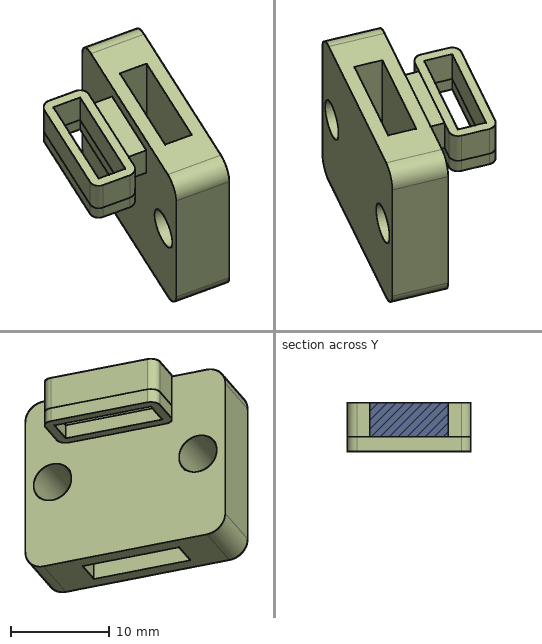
import cadquery as cq

HOUSING_WIDTH = 22.0
HOUSING_HEIGHT = 19.0
HOUSING_DEPTH = 6.0
HOUSING_CORNER_RADIUS = 2.0
MOUNT_HOLE_DIAMETER = 4.15
MOUNT_HOLE_SPACING = 16.0

SLOT_WIDTH = 10.6
SLOT_DEPTH = 3.01

BRIDGE_WIDTH = 8.0
BRIDGE_HEIGHT = 3.5
BRIDGE_LENGTH = 2.0

LOOP_WALL = 1.0
LOOP_TOP_DROP = 1.5
LOWER_RING_HEIGHT = 1.5

housing_top = HOUSING_HEIGHT / 2
housing_mid_y = HOUSING_DEPTH / 2
loop_width = SLOT_WIDTH + 2 * LOOP_WALL
loop_depth = SLOT_DEPTH + 2 * LOOP_WALL
loop_mid_y = -BRIDGE_LENGTH - loop_depth / 2
loop_top = housing_top - LOOP_TOP_DROP
ring_joint = loop_top - BRIDGE_HEIGHT
loop_bottom = ring_joint - LOWER_RING_HEIGHT


def make_mount_holes():
    """Two holes side by side, running through the housing along Y."""
    return (
        cq.Workplane("XZ")
        .pushPoints([(-MOUNT_HOLE_SPACING / 2, 0), (MOUNT_HOLE_SPACING / 2, 0)])
        .circle(MOUNT_HOLE_DIAMETER / 2)
        .extrude(-HOUSING_DEPTH)
    )


def make_bridge():
    """Block from the housing front to the loop, level with the upper ring."""
    return cq.Workplane("XY").box(BRIDGE_WIDTH, BRIDGE_LENGTH, BRIDGE_HEIGHT).translate(
        (0, -BRIDGE_LENGTH / 2, loop_top - BRIDGE_HEIGHT / 2)
    )


def make_housing():
    """Rounded block with slot, mounting holes and bridge."""
    block = (
        cq.Workplane("XZ")
        .rect(HOUSING_WIDTH, HOUSING_HEIGHT)
        .extrude(-HOUSING_DEPTH)
        .edges("|Y")
        .fillet(HOUSING_CORNER_RADIUS)
    )
    slot = cq.Workplane("XY").box(SLOT_WIDTH, SLOT_DEPTH, HOUSING_HEIGHT).translate((0, housing_mid_y, 0))
    return block.cut(slot).cut(make_mount_holes()).union(make_bridge())


def make_ring(bottom, height):
    """One rounded ring of the loop, starting at the given Z."""
    base = cq.Workplane("XY", origin=(0, loop_mid_y, bottom))
    outer = base.rect(loop_width, loop_depth).extrude(height).edges("|Z").fillet(LOOP_WALL)
    opening = base.rect(SLOT_WIDTH, SLOT_DEPTH).extrude(height)
    return outer.cut(opening)


housing = make_housing()
upper_ring = make_ring(ring_joint, BRIDGE_HEIGHT)
lower_ring = make_ring(loop_bottom, LOWER_RING_HEIGHT)

result = cq.Compound.makeCompound([housing.val(), upper_ring.val(), lower_ring.val()])